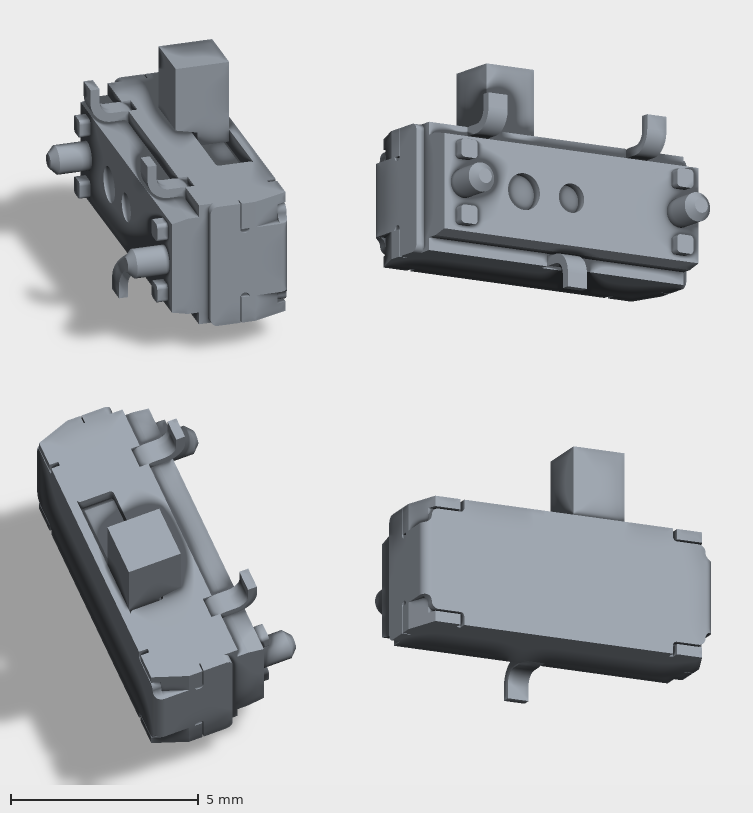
import cadquery as cq
import math


LENGTH = 8.5
BODY_HEIGHT = 3.5
SHEET = 0.25
COVER_DEPTH = 2.45
FLAP_DEPTH = 2.2
FLAP_CORNER_RADIUS = 0.2
HALF_LENGTH = LENGTH / 2
HALF_HEIGHT = BODY_HEIGHT / 2
BASE_HALF_LENGTH = HALF_LENGTH - SHEET

TAB_HALF_HEIGHT = 1.0
SLANT_INSET = 0.35
SLANT_DEPTH = 0.95
TAB_UNDERSIDE = 1.46
BACK_EDGE = 1.4
NOTCH_INNER = 3.05
NOTCH_OUTER = 3.17
SLIT_FRONT = 1.37
SLIT_WIDTH = 0.03
SLIT_END_RADIUS = 0.13

SLOT_HALF_LENGTH = 1.8
SLOT_FRONT = 1.25
SLOT_CORNER_RADIUS = 0.1
SLOT_DEPTH = 0.35
CAVITY_DEPTH = 0.51
SLOT_FLOOR = HALF_HEIGHT - SLOT_DEPTH
CAVITY_FLOOR = HALF_HEIGHT - CAVITY_DEPTH

BASE_DEPTH = 3.205
STEP_HALF_HEIGHT = 1.4
FACE_HALF_HEIGHT = 1.3
TAPER_START = 2.75
PEG_X = 3.4
PEG_DIAMETER = 0.8
PEG_TIP_DEPTH = 4.3
PEG_CHAMFER = 0.2
PAD_SIZE = 0.5
PAD_Z = 0.9
PAD_CORNER_RADIUS = 0.1
PAD_TIP_DEPTH = 3.5
HOLE_DEPTH = 0.3
FACE_HOLES = [(-1.5, 1.0), (0.0, 0.8)]

TERMINAL_WIDTH = 0.6
TERMINAL_THICKNESS = 0.255
TERMINAL_X = 2.5
TERMINAL_TIP_Z = 2.5
TERMINAL_TIP_DEPTH = 3.5
TERMINAL_BEND = 0.35
ROOT_BEND = 0.25
ROOT_DEPTH = 2.6
WINDOW_BACK = 2.19

KNOB_SIZE = 1.5
KNOB_X = -1.0
KNOB_TOP = 3.75
KNOB_UNDERSIDE = 1.94
NECK_TOP = 1.79
NECK_FRONT = 1.13
PLATE_FLAT_END = 1.69
PLATE_CHAMFER = 0.15
PLATE_HALF_LENGTH = PLATE_FLAT_END + PLATE_CHAMFER


def box(x0, x1, y0, y1, z0, z1):
    """Box between two corners."""
    return cq.Workplane("XY").box(x1 - x0, y1 - y0, z1 - z0, centered=False).translate((x0, y0, z0))


def four_corners(cutter):
    """The cutter together with its mirror images about the planes X = 0 and Z = 0."""
    pair = cutter.union(cutter.mirror("YZ"))
    return pair.union(pair.mirror("XY"))


def make_base():
    """Moulded base with a stepped and tapered front."""
    half_profile = [
        (0, HALF_HEIGHT),
        (-COVER_DEPTH, HALF_HEIGHT),
        (-COVER_DEPTH, STEP_HALF_HEIGHT),
        (-TAPER_START, STEP_HALF_HEIGHT),
        (-BASE_DEPTH, FACE_HALF_HEIGHT),
    ]
    lower_half = [(y, -z) for y, z in reversed(half_profile)]
    return (
        cq.Workplane("YZ").polyline(half_profile + lower_half).close()
        .extrude(BASE_HALF_LENGTH, both=True)
    )


def make_flaps():
    """Side flaps, bent round from the back plate, as one block across the length."""
    return (
        box(-HALF_LENGTH, HALF_LENGTH, -FLAP_DEPTH, 0, -HALF_HEIGHT, HALF_HEIGHT)
        .edges("|X and <Y").fillet(FLAP_CORNER_RADIUS)
        .edges("|Z and >Y").fillet(SHEET)
    )


def corner_slant():
    """Wedge that slants the corner tab; within the back plate it cuts only above the gap."""
    wedge = (
        cq.Workplane("XY")
        .polyline([
            (-HALF_LENGTH, -SLANT_DEPTH),
            (-HALF_LENGTH + SLANT_INSET, 0),
            (-HALF_LENGTH, 0),
        ]).close()
        .extrude(HALF_HEIGHT)
    )
    in_front_of_sheet = box(-HALF_LENGTH, 0, -SLANT_DEPTH, -SHEET, TAB_HALF_HEIGHT, HALF_HEIGHT)
    tab_end = box(-HALF_LENGTH, 0, -SHEET, 0, TAB_UNDERSIDE, HALF_HEIGHT)
    return wedge.intersect(in_front_of_sheet.union(tab_end))


def back_relief():
    """S-shaped gap between the corner tab and the back plate, ending in a notch in the top."""
    bend = (BACK_EDGE - TAB_HALF_HEIGHT) / 2
    notch_radius = NOTCH_OUTER - NOTCH_INNER
    return (
        cq.Workplane("XZ")
        .moveTo(-HALF_LENGTH, TAB_HALF_HEIGHT)
        .lineTo(-BASE_HALF_LENGTH - bend, TAB_HALF_HEIGHT)
        .radiusArc((-BASE_HALF_LENGTH, TAB_HALF_HEIGHT + bend), -bend)
        .radiusArc((-BASE_HALF_LENGTH + bend, BACK_EDGE), bend)
        .lineTo(-NOTCH_OUTER, BACK_EDGE)
        .radiusArc((-NOTCH_INNER, BACK_EDGE + notch_radius), -notch_radius)
        .lineTo(-NOTCH_INNER, HALF_HEIGHT)
        .lineTo(-NOTCH_OUTER, HALF_HEIGHT)
        .lineTo(-NOTCH_OUTER, TAB_UNDERSIDE)
        .lineTo(-HALF_LENGTH, TAB_UNDERSIDE)
        .close()
        .extrude(SHEET)
    )


def side_slit():
    """Narrow slit in front of the corner tab, with a half-round end."""
    slit = box(
        -HALF_LENGTH, -BASE_HALF_LENGTH,
        -SLIT_FRONT, -SLIT_FRONT + SLIT_WIDTH,
        TAB_HALF_HEIGHT, HALF_HEIGHT,
    )
    slit_end = (
        cq.Workplane("YZ", origin=(-HALF_LENGTH, 0, 0))
        .moveTo(-SLIT_FRONT, TAB_HALF_HEIGHT)
        .threePointArc(
            (-SLIT_FRONT + SLIT_END_RADIUS, TAB_HALF_HEIGHT - SLIT_END_RADIUS),
            (-SLIT_FRONT + 2 * SLIT_END_RADIUS, TAB_HALF_HEIGHT),
        ).close()
        .extrude(SHEET)
    )
    return slit.union(slit_end)


def cavity_block():
    """Space below the slot that the slider plate lies in."""
    return box(
        -PLATE_HALF_LENGTH, PLATE_HALF_LENGTH,
        -SLOT_FRONT, -SHEET,
        CAVITY_FLOOR, SLOT_FLOOR,
    )


def knob_opening():
    """Slot in the top of the cover, with the slightly longer slider cavity below it."""
    radius = SLOT_CORNER_RADIUS
    slot = (
        cq.Workplane("XY", origin=(0, 0, SLOT_FLOOR))
        .moveTo(-SLOT_HALF_LENGTH - radius, -SHEET)
        .radiusArc((-SLOT_HALF_LENGTH, -SHEET - radius), radius)
        .lineTo(-SLOT_HALF_LENGTH, -SLOT_FRONT + radius)
        .radiusArc((-SLOT_HALF_LENGTH + radius, -SLOT_FRONT), -radius)
        .lineTo(SLOT_HALF_LENGTH - radius, -SLOT_FRONT)
        .radiusArc((SLOT_HALF_LENGTH, -SLOT_FRONT + radius), -radius)
        .lineTo(SLOT_HALF_LENGTH, -SHEET - radius)
        .radiusArc((SLOT_HALF_LENGTH + radius, -SHEET), radius)
        .close()
        .extrude(SLOT_DEPTH)
    )
    return slot.union(cavity_block())


def peg(x):
    """Round locating peg with a chamfered tip."""
    return (
        cq.Workplane("XZ", origin=(x, -BASE_DEPTH, 0))
        .circle(PEG_DIAMETER / 2)
        .extrude(PEG_TIP_DEPTH - BASE_DEPTH)
        .faces("<Y").chamfer(PEG_CHAMFER)
    )


def pad(x, z):
    """Square stand-off pad with rounded corners."""
    return (
        cq.Workplane("XZ", origin=(x, -BASE_DEPTH, z))
        .rect(PAD_SIZE, PAD_SIZE)
        .extrude(PAD_TIP_DEPTH - BASE_DEPTH)
        .edges("|Y").fillet(PAD_CORNER_RADIUS)
    )


def face_hole(x, diameter):
    """Blind round hole in the front face of the base."""
    return (
        cq.Workplane("XZ", origin=(x, -BASE_DEPTH + HOLE_DEPTH, 0))
        .circle(diameter / 2)
        .extrude(HOLE_DEPTH)
    )


def terminal_window(x):
    """Window in the front edge of the cover around a terminal root."""
    half_width = TERMINAL_WIDTH / 2
    return box(x - half_width, x + half_width, -COVER_DEPTH, -WINDOW_BACK, STEP_HALF_HEIGHT, HALF_HEIGHT)


def terminal(x):
    """Upper terminal: curves out of the cover, runs forward and turns up."""
    underside = HALF_HEIGHT - TERMINAL_THICKNESS
    outer_root = ROOT_BEND + TERMINAL_THICKNESS
    outer_bend = TERMINAL_BEND + TERMINAL_THICKNESS
    root_z = HALF_HEIGHT - outer_root
    bend_z = HALF_HEIGHT + TERMINAL_BEND
    leg_inner = TERMINAL_TIP_DEPTH - TERMINAL_THICKNESS
    bend_depth = leg_inner - TERMINAL_BEND

    back_offset = ROOT_DEPTH - WINDOW_BACK
    back_z = root_z + math.sqrt(outer_root**2 - back_offset**2)
    return (
        cq.Workplane("YZ", origin=(x, 0, 0))
        .moveTo(-WINDOW_BACK, root_z)
        .lineTo(-WINDOW_BACK, back_z)
        .radiusArc((-ROOT_DEPTH, HALF_HEIGHT), -outer_root)
        .lineTo(-bend_depth, HALF_HEIGHT)
        .radiusArc((-leg_inner, bend_z), TERMINAL_BEND)
        .lineTo(-leg_inner, TERMINAL_TIP_Z)
        .lineTo(-TERMINAL_TIP_DEPTH, TERMINAL_TIP_Z)
        .lineTo(-TERMINAL_TIP_DEPTH, bend_z)
        .radiusArc((-bend_depth, underside), -outer_bend)
        .lineTo(-ROOT_DEPTH, underside)
        .radiusArc((-ROOT_DEPTH + ROOT_BEND, root_z), ROOT_BEND)
        .close()
        .extrude(TERMINAL_WIDTH / 2, both=True)
    )


def make_housing():
    """Cover, base and terminals as one solid."""
    body = make_base().union(make_flaps())
    for cutter in (corner_slant(), back_relief(), side_slit()):
        body = body.cut(four_corners(cutter))
    body = body.cut(knob_opening())

    for x, diameter in FACE_HOLES:
        body = body.cut(face_hole(x, diameter))
    for x in (-PEG_X, PEG_X):
        body = body.union(peg(x))
        for z in (-PAD_Z, PAD_Z):
            body = body.union(pad(x, z))

    for x in (-TERMINAL_X, TERMINAL_X):
        body = body.cut(terminal_window(x)).union(terminal(x))
    return body.cut(terminal_window(0).mirror("XY")).union(terminal(0).mirror("XY"))


def make_slider():
    """Square knob on a neck, with a plate that lies in the housing cavity."""
    back = -SHEET
    knob = (
        cq.Workplane("YZ", origin=(KNOB_X, 0, 0))
        .polyline([
            (back, SLOT_FLOOR),
            (back, KNOB_TOP),
            (back - KNOB_SIZE, KNOB_TOP),
            (back - KNOB_SIZE, KNOB_UNDERSIDE),
            (-NECK_FRONT, NECK_TOP),
            (-NECK_FRONT, SLOT_FLOOR),
        ]).close()
        .extrude(KNOB_SIZE / 2, both=True)
    )
    plate = (
        cavity_block()
        .edges(">Z").edges(">X or >Y").chamfer(PLATE_CHAMFER)
    )
    return plate.union(knob)


housing = make_housing()
slider = make_slider()
result = cq.Compound.makeCompound([housing.solids().val(), slider.solids().val()])